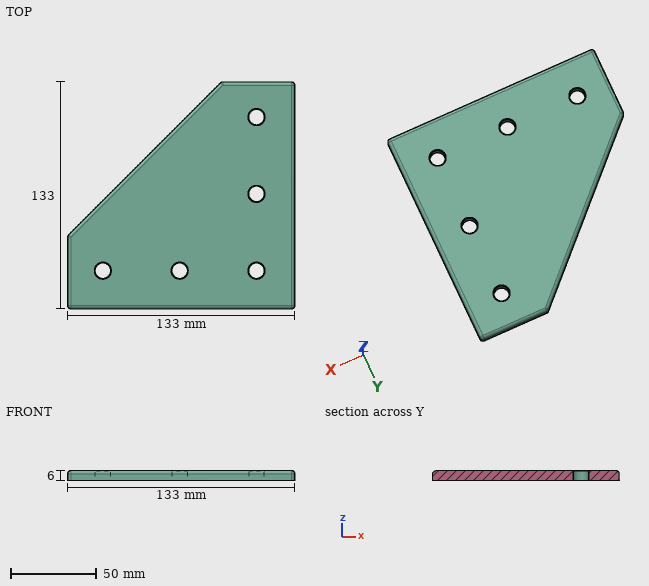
import cadquery as cq

side = 133.0
thickness = 6.0
short_edge = 43.0
edge_radius = 2.0

hole_diameter = 9.0
hole_chamfer = 0.5
hole_pitch = 45.0
corner_hole_inset = 22.5
holes_per_leg = 3

half = side / 2


def make_plate():
    """Square plate with its -X, +Y corner cut off, rounded at corners and top rim."""
    outline = [
        (-half, -half),
        (half, -half),
        (half, half),
        (half - short_edge, half),
        (-half, -half + short_edge),
    ]
    plate = cq.Workplane("XY").polyline(outline).close().extrude(thickness)
    plate = plate.edges("|Z").fillet(edge_radius)
    return plate.faces(">Z").edges().fillet(edge_radius)


def hole_centres():
    """Corner hole first, then the others along -X and +Y."""
    corner_x = half - corner_hole_inset
    corner_y = -half + corner_hole_inset
    centres = [(corner_x, corner_y)]
    for step in range(1, holes_per_leg):
        centres.append((corner_x - step * hole_pitch, corner_y))
        centres.append((corner_x, corner_y + step * hole_pitch))
    return centres


def make_hole_cutters():
    """Through holes with a small chamfer at the top face."""
    top_diameter = hole_diameter + 2 * hole_chamfer
    return (
        cq.Workplane("XY")
        .pushPoints(hole_centres())
        .circle(hole_diameter / 2)
        .extrude(thickness)
        .union(
            cq.Workplane("XY", origin=(0, 0, thickness))
            .pushPoints(hole_centres())
            .circle(top_diameter / 2)
            .extrude(-hole_chamfer, taper=45)
        )
    )


result = make_plate().cut(make_hole_cutters())